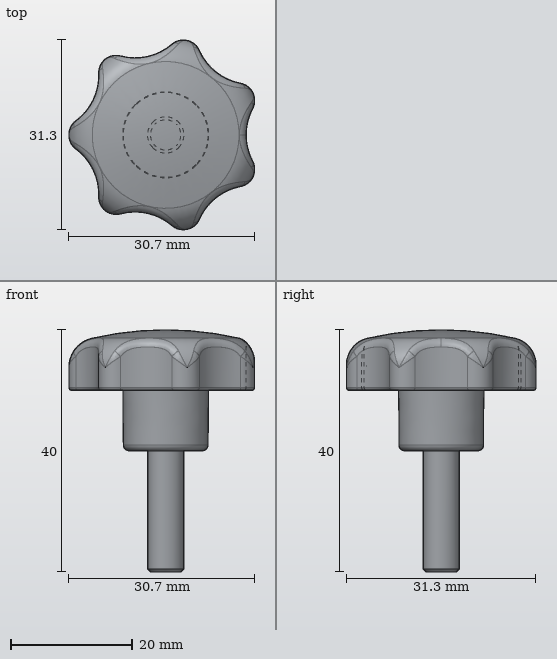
import cadquery as cq
import math

hub_height = 10.0
head_height = 10.0
stud_length = 20.0

lobe_count = 7
head_radius = 16.0
lobe_tip_radius = 2.9
valley_floor_radius = 13.3
dome_radius = 54.0
shoulder_radius = 5.0
rim_fillet = 1.5
bottom_fillet = 0.5

hub_top_radius = 7.1
hub_bottom_radius = 7.0
hub_fillet = 1.0

stud_radius = 3.0
stud_chamfer = 0.5

lobe_pitch = 2 * math.pi / lobe_count
head_top = hub_height + head_height


def polar(radius, angle):
    return (radius * math.cos(angle), radius * math.sin(angle))


def star_outline():
    """Closed outline of convex lobe tips joined by tangent concave valleys; one lobe points to -X."""
    tip_centre = head_radius - lobe_tip_radius
    half_pitch = lobe_pitch / 2
    offset = valley_floor_radius - tip_centre * math.cos(half_pitch)
    half_span = tip_centre * math.sin(half_pitch)
    valley_radius = (offset**2 + half_span**2 - lobe_tip_radius**2) / (2 * (lobe_tip_radius - offset))
    valley_centre = valley_floor_radius + valley_radius

    share = lobe_tip_radius / (lobe_tip_radius + valley_radius)
    tangent_x = tip_centre * math.cos(half_pitch) * (1 - share) + valley_centre * share
    tangent_y = half_span * (1 - share)
    tangent_distance = math.hypot(tangent_x, tangent_y)
    tangent_angle = math.atan2(tangent_y, tangent_x)

    outline = cq.Workplane("XY").workplane(offset=hub_height)
    outline = outline.moveTo(*polar(tangent_distance, -tangent_angle))
    for index in range(lobe_count):
        valley = index * lobe_pitch
        next_valley = valley + lobe_pitch
        outline = outline.threePointArc(
            polar(valley_floor_radius, valley),
            polar(tangent_distance, valley + tangent_angle),
        )
        outline = outline.threePointArc(
            polar(head_radius, valley + half_pitch),
            polar(tangent_distance, next_valley - tangent_angle),
        )
    return outline.close()


def domed_blank():
    """Round blank with a shallow dome that rolls over into the side wall."""
    dome_centre = head_top - dome_radius
    roll_centre = head_radius - shoulder_radius
    reach = dome_radius - shoulder_radius
    tilt = math.asin(roll_centre / reach)
    roll_height = dome_centre + reach * math.cos(tilt)

    def on_dome(angle):
        return (dome_radius * math.sin(angle), dome_centre + dome_radius * math.cos(angle))

    def on_shoulder(angle):
        return (
            roll_centre + shoulder_radius * math.sin(angle),
            roll_height + shoulder_radius * math.cos(angle),
        )

    return (
        cq.Workplane("XZ")
        .moveTo(0, hub_height)
        .lineTo(head_radius, hub_height)
        .lineTo(head_radius, roll_height)
        .threePointArc(on_shoulder((tilt + math.pi / 2) / 2), on_dome(tilt))
        .threePointArc(on_dome(tilt / 2), (0, head_top))
        .close()
        .revolve(360, (0, 0, 0), (0, 1, 0))
    )


def make_head():
    star = star_outline().extrude(head_height)
    head = domed_blank().intersect(star)
    head = head.edges("%BSPLINE").fillet(rim_fillet)
    return head.faces("<Z").edges().fillet(bottom_fillet)


def make_hub():
    return (
        cq.Workplane("XZ")
        .lineTo(hub_bottom_radius, 0)
        .lineTo(hub_top_radius, hub_height)
        .lineTo(0, hub_height)
        .close()
        .revolve(360, (0, 0, 0), (0, 1, 0))
        .faces("<Z")
        .edges()
        .fillet(hub_fillet)
    )


def make_knob():
    return make_head().union(make_hub())


def make_stud():
    return (
        cq.Workplane("XY")
        .circle(stud_radius)
        .extrude(-stud_length)
        .faces("<Z")
        .edges()
        .chamfer(stud_chamfer)
    )


knob = make_knob()
stud = make_stud()

result = cq.Compound.makeCompound([knob.val(), stud.val()])